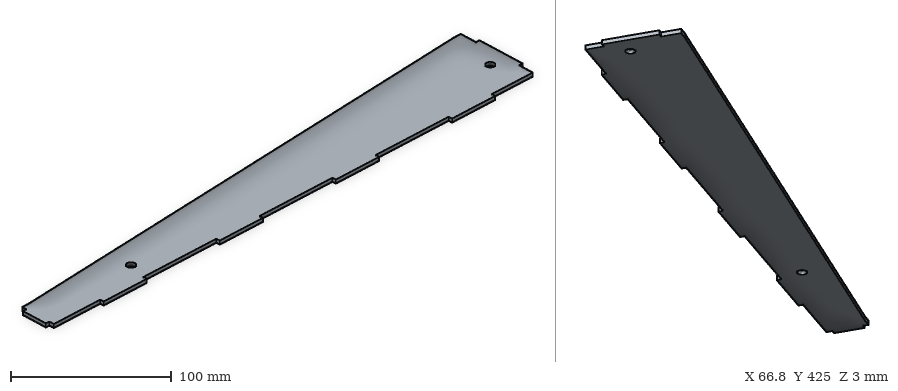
import cadquery as cq

length = 425.0
width = 66.8
thickness = 3.0
tab_depth = thickness

plate_left = -width / 2
plate_right = width / 2 - tab_depth
plate_top = length / 2 - tab_depth
plate_bottom = -plate_top
narrow_end_width = 28.0
straight_end_length = 6.0
narrow_left = plate_right - narrow_end_width

top_tab_width = 38.3
top_tab_x = -1.0
bottom_tab_width = 20.5
bottom_tab_x = 16.0
side_tab_length = 38.0
side_tab_pitch = 101.5
side_tab_count = 4
first_side_tab_y = 154.8

hole_diameter = 6.5
hole_centers = [(5.0, 197.5), (15.0, -126.5)]


def make_plate():
    outline = [
        (plate_left, plate_top),
        (plate_right, plate_top),
        (plate_right, plate_bottom),
        (narrow_left, plate_bottom),
        (narrow_left, plate_bottom + straight_end_length),
        (plate_left, plate_top - straight_end_length),
    ]
    return cq.Workplane("XY").polyline(outline).close().extrude(thickness / 2, both=True)


def make_tab(edge_x, edge_y, size_x, size_y):
    """Rectangular tab centered on a plate edge, so half of it overlaps the plate."""
    return cq.Workplane("XY").box(size_x, size_y, thickness).translate((edge_x, edge_y, 0))


result = make_plate()
result = result.union(make_tab(top_tab_x, plate_top, top_tab_width, 2 * tab_depth))
result = result.union(make_tab(bottom_tab_x, plate_bottom, bottom_tab_width, 2 * tab_depth))
for index in range(side_tab_count):
    tab_y = first_side_tab_y - index * side_tab_pitch
    result = result.union(make_tab(plate_right, tab_y, 2 * tab_depth, side_tab_length))

holes = cq.Workplane("XY").pushPoints(hole_centers).circle(hole_diameter / 2).extrude(thickness, both=True)
result = result.cut(holes)